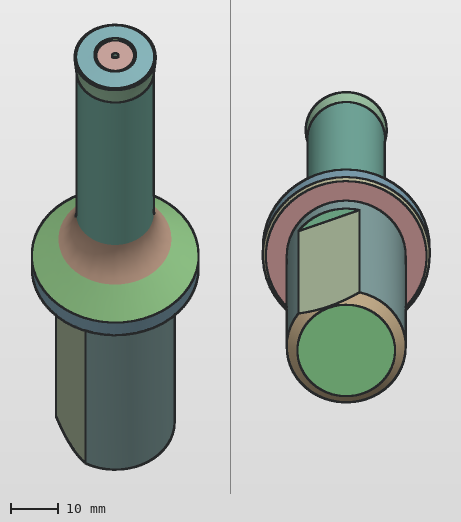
import cadquery as cq
import math

total_height = 132.0

shank_radius = 25.0 / 2
shank_chamfer = 2.2
flat_offset = 10.4
flat_top_z = 51.2

flange_radius = 35.0 / 2
flange_bottom_z = 56.0
flange_chamfer = 0.7
flange_top_z = 61.1
flare_angle = math.radians(45)
flare_arc_radius = 12.7

neck_radius = 16.2 / 2

head_bottom_z = 126.2
head_radius = 17.0 / 2
head_edge_z = 131.1
head_face_radius = 16.4 / 2
head_face_z = 131.3
recess_rim_radius = 4.4
recess_floor_radius = 4.0
recess_depth = 0.3
center_hole_radius = 0.7
center_hole_depth = 1.3


def make_holder():
    """Revolved shank, flange and neck, with one clamping flat on the -Y side."""
    arc_center_radius = neck_radius + flare_arc_radius
    arc_end_radius = arc_center_radius - flare_arc_radius * math.cos(flare_angle)
    arc_end_z = flange_top_z + (flange_radius - arc_end_radius) / math.tan(flare_angle)
    arc_top_z = arc_end_z + flare_arc_radius * math.sin(flare_angle)
    arc_mid = (
        arc_center_radius - flare_arc_radius * math.cos(flare_angle / 2),
        arc_top_z - flare_arc_radius * math.sin(flare_angle / 2),
    )
    holder = (
        cq.Workplane("XZ")
        .moveTo(0, 0)
        .lineTo(shank_radius - shank_chamfer, 0)
        .lineTo(shank_radius, shank_chamfer)
        .lineTo(shank_radius, flange_bottom_z)
        .lineTo(flange_radius - flange_chamfer, flange_bottom_z)
        .lineTo(flange_radius, flange_bottom_z + flange_chamfer)
        .lineTo(flange_radius, flange_top_z)
        .lineTo(arc_end_radius, arc_end_z)
        .threePointArc(arc_mid, (neck_radius, arc_top_z))
        .lineTo(neck_radius, head_bottom_z)
        .lineTo(0, head_bottom_z)
        .close()
        .revolve(360, (0, 0), (0, 1))
    )
    flat_cutter = (
        cq.Workplane("XY")
        .rect(2 * shank_radius, 2 * (shank_radius - flat_offset))
        .extrude(flat_top_z)
        .translate((0, -shank_radius, 0))
    )
    return holder.cut(flat_cutter)


def make_head():
    """Tapered head with a shallow recess and a small center hole in its top face."""
    recess_floor_z = total_height - recess_depth
    center_hole_floor_z = recess_floor_z - center_hole_depth
    return (
        cq.Workplane("XZ")
        .moveTo(0, head_bottom_z)
        .lineTo(neck_radius, head_bottom_z)
        .lineTo(head_radius, head_edge_z)
        .lineTo(head_face_radius, head_face_z)
        .lineTo(recess_rim_radius, total_height)
        .lineTo(recess_floor_radius, recess_floor_z)
        .lineTo(center_hole_radius, recess_floor_z)
        .lineTo(center_hole_radius, center_hole_floor_z)
        .lineTo(0, center_hole_floor_z)
        .close()
        .revolve(360, (0, 0), (0, 1))
    )


holder = make_holder()
head = make_head()

result = cq.Compound.makeCompound([holder.val(), head.val()])